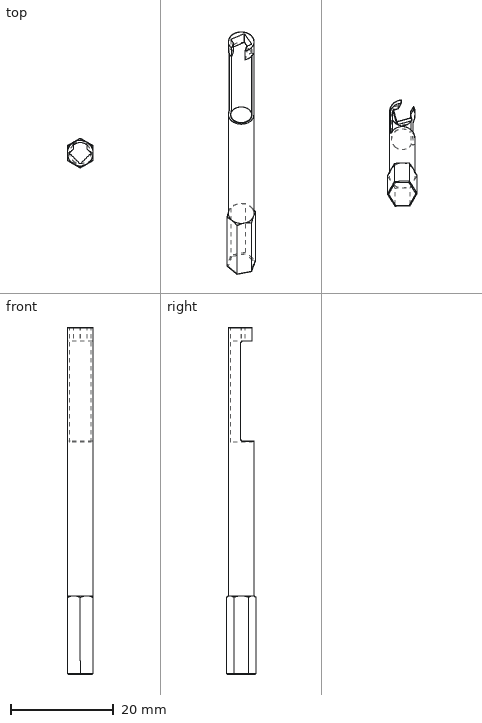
import cadquery as cq
import math

LENGTH = 67.5
SHAFT_DIAMETER = 5.0
SHAFT_RADIUS = SHAFT_DIAMETER / 2

HEX_FLATS = SHAFT_DIAMETER
HEX_CORNERS = HEX_FLATS / math.cos(math.pi / 6)
HEX_LENGTH = 15.3
HEX_END_CHAMFER = 0.2
HEX_TOP_CONE_ANGLE = 40.0

WINDOW_BOTTOM = 45.4
WINDOW_TOP = 64.9
WINDOW_BACK_Y = -0.15
WINDOW_CORNER_RADIUS = 0.5

BORE_DIAMETER = 4.1
BORE_SINK = 0.2
BORE_BOTTOM = WINDOW_BOTTOM - BORE_SINK

SOCKET_DIAGONAL = 4.25
TIP_HEIGHT = LENGTH - WINDOW_TOP
MOUTH_WIDTH = 2.7


def make_hex_end():
    """Hexagonal bar, chamfered at its free end and coned where it meets the shaft."""
    bar = (
        cq.Workplane("XY")
        .polygon(6, HEX_CORNERS)
        .extrude(HEX_LENGTH)
        .rotate((0, 0, 0), (0, 0, 1), 30)
        .faces("<Z")
        .chamfer(HEX_END_CHAMFER)
    )
    corner_radius = HEX_CORNERS / 2
    cone_drop = (corner_radius - SHAFT_RADIUS) * math.tan(math.radians(HEX_TOP_CONE_ANGLE))
    envelope = (
        cq.Workplane("XZ")
        .moveTo(0, 0)
        .lineTo(corner_radius, 0)
        .lineTo(corner_radius, HEX_LENGTH - cone_drop)
        .lineTo(SHAFT_RADIUS, HEX_LENGTH)
        .lineTo(0, HEX_LENGTH)
        .close()
        .revolve(360, (0, 0, 0), (0, 1, 0))
    )
    return bar.intersect(envelope)


def make_shaft():
    """Round shaft from the hexagonal end to the tip."""
    return (
        cq.Workplane("XY")
        .workplane(offset=HEX_LENGTH)
        .circle(SHAFT_RADIUS)
        .extrude(LENGTH - HEX_LENGTH)
    )


def make_window():
    """Cutter for the side window, with rounded inner corners."""
    return (
        cq.Workplane("XY")
        .box(
            2 * SHAFT_DIAMETER,
            SHAFT_DIAMETER,
            WINDOW_TOP - WINDOW_BOTTOM,
            centered=(True, False, False),
        )
        .translate((0, WINDOW_BACK_Y, WINDOW_BOTTOM))
        .edges("|X and <Y")
        .fillet(WINDOW_CORNER_RADIUS)
    )


def make_bore():
    """Cutter for the round bore, from just below the window floor up to the tip."""
    return (
        cq.Workplane("XY")
        .workplane(offset=BORE_BOTTOM)
        .circle(BORE_DIAMETER / 2)
        .extrude(WINDOW_TOP - BORE_BOTTOM)
    )


def make_socket():
    """Cutter for the square socket through the tip, its corners rounded to the bore diameter."""
    tip_base = cq.Workplane("XY").workplane(offset=WINDOW_TOP)
    square = tip_base.polygon(4, SOCKET_DIAGONAL).extrude(TIP_HEIGHT)
    bore_circle = tip_base.circle(BORE_DIAMETER / 2).extrude(TIP_HEIGHT)
    return square.intersect(bore_circle)


def make_mouth():
    """Cutter for the slot that opens the tip toward +Y."""
    return (
        cq.Workplane("XY")
        .box(MOUTH_WIDTH, SHAFT_DIAMETER, TIP_HEIGHT, centered=(True, False, False))
        .translate((0, 0, WINDOW_TOP))
    )


result = make_hex_end().union(make_shaft())
result = result.cut(make_window())
result = result.cut(make_bore())
result = result.cut(make_socket())
result = result.cut(make_mouth())